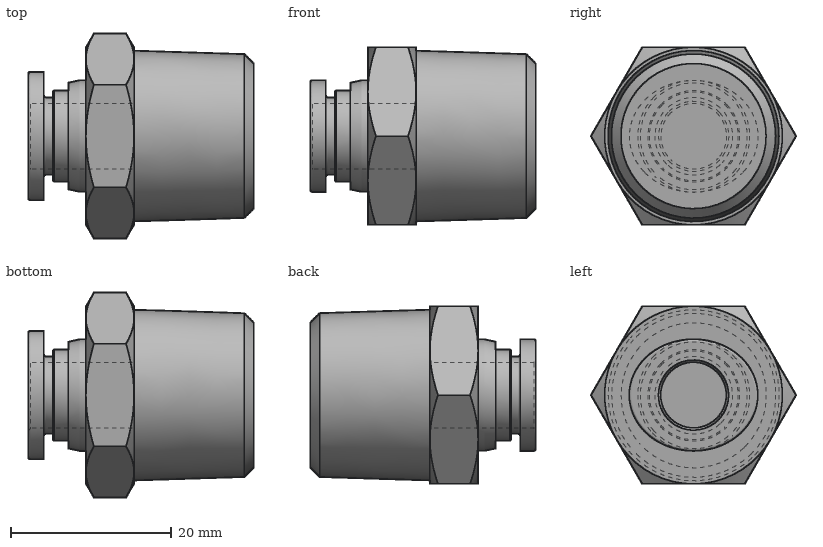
import cadquery as cq
import math

total_length = 28.2
flange_thickness = 1.97
collar_start = 3.07
shoulder_start = 5.02
shoulder_taper_end = 6.43
hex_start = 7.22
hex_end = 13.23

flange_width = 16.07
flange_height = 14.0
flange_round = 0.28
neck_diameter = 9.7
neck_root_fillet = 0.25
bore_diameter = 8.2
bore_chamfer = 0.28
collar_diameter = 11.45
collar_chamfer = 0.17

shoulder_diameter = 14.0
shoulder_front_diameter = 13.37
hex_sides = 6
hex_across_flats = 22.22
hex_chamfer_angle = 30.0
thread_length = total_length - hex_end
thread_taper = 1 / 16
thread_root_diameter = 21.38
thread_end_chamfer = 1.18
bore_end = hex_end


def cylinder(start, end, diameter):
    """Round bar along X between two axial positions."""
    return cq.Workplane("YZ", origin=(start, 0, 0)).circle(diameter / 2).extrude(end - start)


def turned(outline):
    """Revolve a closed (axial, radial) outline about the X axis."""
    return outline.close().revolve(360, (0, 0, 0), (1, 0, 0))


def release_sleeve():
    """Oval flange, neck and collar with a through bore, ending flush on the shoulder."""
    flange = cq.Workplane("YZ").ellipse(flange_width / 2, flange_height / 2).extrude(flange_thickness)
    flange = flange.faces("<X").edges().fillet(flange_round)
    neck = cylinder(flange_thickness, collar_start, neck_diameter)
    collar = cylinder(collar_start, shoulder_start, collar_diameter)
    collar = collar.faces("<X").edges().chamfer(collar_chamfer)
    root_radius = neck_diameter / 2
    root = turned(
        cq.Workplane("XY")
        .moveTo(flange_thickness, 0)
        .lineTo(flange_thickness, root_radius + neck_root_fillet)
        .radiusArc((flange_thickness + neck_root_fillet, root_radius), -neck_root_fillet)
        .lineTo(flange_thickness + neck_root_fillet, 0)
    )
    sleeve = flange.union(neck).union(root).union(collar)
    sleeve = sleeve.cut(cylinder(0, shoulder_start, bore_diameter))
    return sleeve.faces("<X").edges("%CIRCLE").chamfer(bore_chamfer)


def shoulder():
    """Tapered shoulder in front of the hexagon."""
    return turned(
        cq.Workplane("XY")
        .moveTo(shoulder_start, 0)
        .lineTo(shoulder_start, shoulder_front_diameter / 2)
        .lineTo(shoulder_taper_end, shoulder_diameter / 2)
        .lineTo(hex_start, shoulder_diameter / 2)
        .lineTo(hex_start, 0)
    )


def hexagon():
    """Hexagon with corners on Y, both ends trimmed by a cone."""
    corner_radius = hex_across_flats / 2 / math.cos(math.pi / hex_sides)
    prism = (
        cq.Workplane("YZ", origin=(hex_start, 0, 0))
        .polygon(hex_sides, 2 * corner_radius)
        .extrude(hex_end - hex_start)
    )
    face_radius = hex_across_flats / 2
    middle = (hex_start + hex_end) / 2
    cone_rise = (middle - hex_start) / math.tan(math.radians(hex_chamfer_angle))
    envelope = turned(
        cq.Workplane("XY")
        .moveTo(hex_start, 0)
        .lineTo(hex_start, face_radius)
        .lineTo(middle, face_radius + cone_rise)
        .lineTo(hex_end, face_radius)
        .lineTo(hex_end, 0)
    )
    return prism.intersect(envelope)


def thread_body():
    """Plain tapered thread blank with a chamfered end."""
    chamfer_start = total_length - thread_end_chamfer
    root_radius = thread_root_diameter / 2
    tip_radius = root_radius - (thread_length - thread_end_chamfer) * thread_taper / 2
    return turned(
        cq.Workplane("XY")
        .moveTo(hex_end, 0)
        .lineTo(hex_end, root_radius)
        .lineTo(chamfer_start, tip_radius)
        .lineTo(total_length, tip_radius - thread_end_chamfer)
        .lineTo(total_length, 0)
    )


def fitting_housing():
    """Shoulder, hexagon and thread with a blind bore."""
    body = shoulder().union(hexagon()).union(thread_body())
    return body.cut(cylinder(shoulder_start, bore_end, bore_diameter))


sleeve = release_sleeve()
housing = fitting_housing()
result = cq.Compound.makeCompound([sleeve.val(), housing.val()])